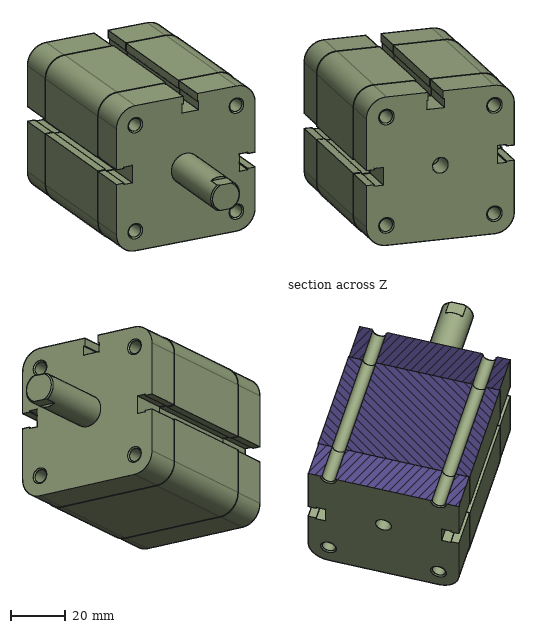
import cadquery as cq

TOTAL_LENGTH = 102.5
CAP_LENGTH = 14.6
BARREL_LENGTH = 41.7
BARREL_START = CAP_LENGTH
FRONT_CAP_START = BARREL_START + BARREL_LENGTH
HOUSING_LENGTH = FRONT_CAP_START + CAP_LENGTH

BARREL_SIDE = 58.0
CAP_SETBACK = 0.2
CAP_SIDE = BARREL_SIDE - 2 * CAP_SETBACK
BARREL_CORNER_RADIUS = 8.0
CAP_CORNER_RADIUS = BARREL_CORNER_RADIUS - CAP_SETBACK

SLOT_OFFSET = 1.8
SLOT_FLOOR_HEIGHT = 22.2
SLOT_LEDGE_HEIGHT = 25.7
BARREL_NECK_WIDTH = 5.2
BARREL_SLOT_WIDTH = 6.3
CAP_SLOT_CLEARANCE = 0.3
CAP_NECK_WIDTH = BARREL_NECK_WIDTH + 2 * CAP_SLOT_CLEARANCE
CAP_SLOT_WIDTH = BARREL_SLOT_WIDTH + 2 * CAP_SLOT_CLEARANCE
SLOT_ANGLES = (0, 90, -90)

BOLT_SPACING = 42.0
BOLT_HOLE_DIAMETER = 5.0
BOLT_MOUTH_DIAMETER = 6.0
BOLT_CHAMFER = (BOLT_MOUTH_DIAMETER - BOLT_HOLE_DIAMETER) / 2

CENTRE_HOLE_DIAMETER = 6.0
CENTRE_HOLE_DEPTH = 10.2

ROD_DIAMETER = 12.0
ROD_LENGTH = TOTAL_LENGTH - HOUSING_LENGTH
ROD_CHAMFER = 0.5
FLAT_LENGTH = 5.4
ACROSS_FLATS = 10.0
FLAT_DEPTH = (ROD_DIAMETER - ACROSS_FLATS) / 2


def section_plane(x):
    """Plane across the X axis, with its local x along +Y and local y along +Z."""
    return cq.Workplane("YZ", origin=(x, 0, 0))


def t_slots(start, length, neck_width, slot_width):
    """T-slot cutters for the three slotted sides."""
    slot_height = BARREL_SIDE / 2 - SLOT_FLOOR_HEIGHT
    ledge_height = SLOT_LEDGE_HEIGHT - SLOT_FLOOR_HEIGHT
    neck = (
        section_plane(start)
        .center(SLOT_OFFSET, SLOT_FLOOR_HEIGHT + slot_height / 2)
        .rect(neck_width, slot_height)
        .extrude(length)
    )
    undercut = (
        section_plane(start)
        .center(SLOT_OFFSET, SLOT_FLOOR_HEIGHT + ledge_height / 2)
        .rect(slot_width, ledge_height)
        .extrude(length)
    )
    slot = neck.union(undercut)
    cutters = cq.Workplane()
    for angle in SLOT_ANGLES:
        cutters = cutters.add(slot.rotate((0, 0, 0), (1, 0, 0), angle))
    return cutters.combine()


def housing_section(start, length, side, corner_radius, neck_width, slot_width):
    """Rounded square block with the T-slots and the four bolt holes."""
    block = section_plane(start).rect(side, side).extrude(length).edges("|X").fillet(corner_radius)
    holes = (
        section_plane(start)
        .rect(BOLT_SPACING, BOLT_SPACING, forConstruction=True)
        .vertices()
        .circle(BOLT_HOLE_DIAMETER / 2)
        .extrude(length)
    )
    return block.cut(t_slots(start, length, neck_width, slot_width)).cut(holes)


def make_cap(start, outer_face):
    """End cap with the bolt holes chamfered on its outer face ("<X" or ">X")."""
    cap = housing_section(
        start, CAP_LENGTH, CAP_SIDE, CAP_CORNER_RADIUS, CAP_NECK_WIDTH, CAP_SLOT_WIDTH
    )
    bolt_hole_rims = cap.faces(outer_face).edges("%CIRCLE").edges(cq.selectors.RadiusNthSelector(0))
    return bolt_hole_rims.chamfer(BOLT_CHAMFER)


def make_rear_cap():
    """Rear cap with a blind hole in the middle of its outer face."""
    centre_hole = section_plane(0).circle(CENTRE_HOLE_DIAMETER / 2).extrude(CENTRE_HOLE_DEPTH)
    return make_cap(0, "<X").cut(centre_hole)


def make_barrel():
    """Barrel profile clamped between the two caps."""
    return housing_section(
        BARREL_START,
        BARREL_LENGTH,
        BARREL_SIDE,
        BARREL_CORNER_RADIUS,
        BARREL_NECK_WIDTH,
        BARREL_SLOT_WIDTH,
    )


def make_rod():
    """Rod from the front cap face, with a flat on its +Z and -Z sides."""
    rod = section_plane(HOUSING_LENGTH).circle(ROD_DIAMETER / 2).extrude(ROD_LENGTH)
    rod = rod.faces(">X").chamfer(ROD_CHAMFER)
    for side in (1, -1):
        waste = (
            section_plane(TOTAL_LENGTH - FLAT_LENGTH)
            .center(0, side * (ACROSS_FLATS + FLAT_DEPTH) / 2)
            .rect(ROD_DIAMETER, FLAT_DEPTH)
            .extrude(FLAT_LENGTH)
        )
        rod = rod.cut(waste)
    return rod


rear_cap = make_rear_cap()
barrel = make_barrel()
front_cap = make_cap(FRONT_CAP_START, ">X")
rod = make_rod()

bodies = [rear_cap, barrel, front_cap, rod]
result = cq.Compound.makeCompound([body.solids().val() for body in bodies])